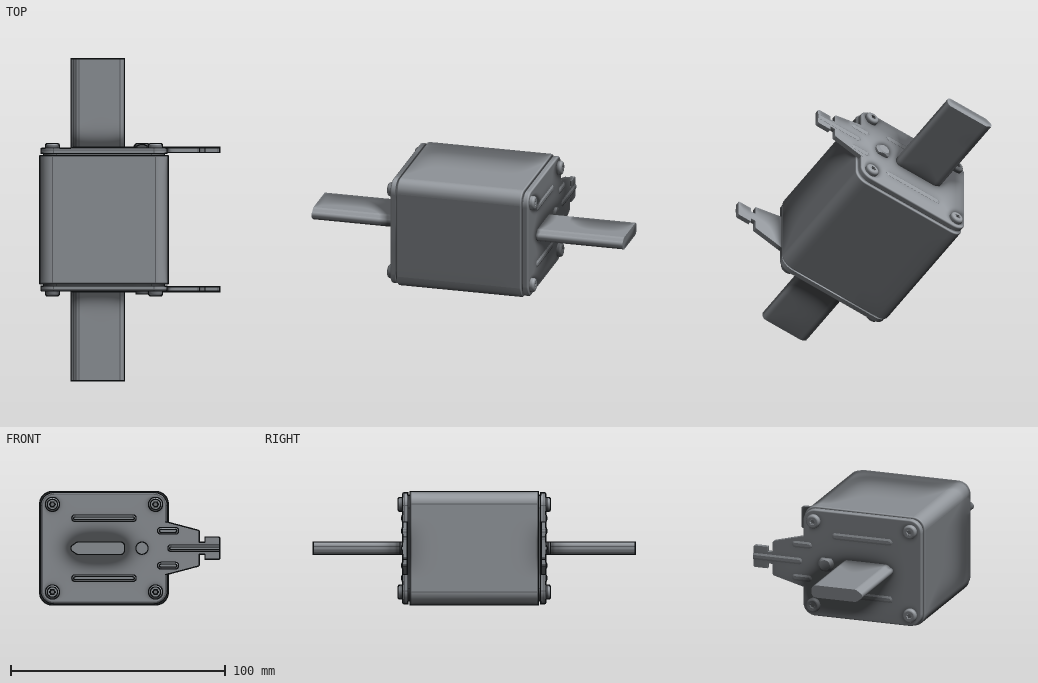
import cadquery as cq
import math


BODY_WIDTH = 60.0
BODY_HEIGHT = 53.0
CORNER_RADIUS = 6.0
BODY_END = 30.0
BODY_EDGE_ROUND = 0.6

PLATE_INSET = 0.6
PLATE_BACK = 30.9
PLATE_FACE = 33.3
PLATE_EDGE_ROUND = 0.8
GASKET_INSET = 1.8

LUG_THICKNESS = 2.1
LUG_ROOT_X = BODY_WIDTH / 2 - GASKET_INSET
LUG_TAPER_X = 29.7
LUG_TAPER_HALF_HEIGHT = 12.2
LUG_SHOULDER_X = 44.4
LUG_SHOULDER_HALF_HEIGHT = 8.2
LUG_NECK_HALF_HEIGHT = 2.8
LUG_HEAD_START_X = 47.0
LUG_HEAD_HALF_HEIGHT = 5.2
LUG_TIP_X = 54.0
LUG_CORNER_ROUND = 0.9

RIB_WIDTH = 3.2
RIB_HEIGHT = 0.5
RIB_SIDE_RUN = 0.9
RIB_SIDE_RISE = 0.38
LONG_RIB_END_X = 15.0
LONG_RIB_Z = 14.0
SHORT_RIB_START_X = 24.9
SHORT_RIB_END_X = 34.8
SHORT_RIB_Z = 8.1
LUG_RIB_START_X = 29.7

SCREW_X = 24.0
SCREW_Z = 20.4
SCREW_RADIUS = 3.3
SCREW_FLAT_RADIUS = 2.4
SCREW_RIM = 34.2
SCREW_TOP = 35.5
SCREW_DOME_BULGE = 0.3
SOCKET_RADIUS = 1.0
SOCKET_LOBE_RADIUS = 0.3
SOCKET_LOBES = 6
SOCKET_DEPTH = 1.2

BLADE_END = 75.0
BLADE_HALF_HEIGHT = 3.0
BLADE_RIGHT_X = 9.6
BLADE_RIGHT_ROUND = 2.1
BLADE_NOSE_X = -15.5
NOSE_EDGE_X = -14.2
NOSE_EDGE_HALF_HEIGHT = 1.6
BEVEL_END_X = -13.0
BEVEL_END_HALF_HEIGHT = 2.5
BLADE_FLAT_START_X = -11.7
BEVEL_BLEND_BULGE = 0.09

INDICATOR_X = 17.7
INDICATOR_RADIUS = 2.8
INDICATOR_TOP = 34.6
STRIKER_RADIUS = 3.8
STRIKER_HALF_HEIGHT = BLADE_HALF_HEIGHT
STRIKER_TOP = 35.5
STRIKER_CHAMFER = 1.2


def end_plane(distance):
    """Workplane facing -Y at the given distance from the middle: local x is X, local y is Z."""
    return cq.Workplane("XZ", origin=(0, -distance, 0))


def rounded_slab(inset, start, end):
    """Slab following the body outline, narrower by inset on every side, with the same corner radius."""
    return (
        end_plane(start)
        .rect(BODY_WIDTH - 2 * inset, BODY_HEIGHT - 2 * inset)
        .extrude(end - start)
        .edges("|Y")
        .fillet(CORNER_RADIUS)
    )


def ceramic_body():
    body = rounded_slab(0, -BODY_END, BODY_END)
    return body.faces("<Y or >Y").edges().fillet(BODY_EDGE_ROUND)


def cover_plate():
    plate = rounded_slab(PLATE_INSET, PLATE_BACK, PLATE_FACE)
    return plate.faces("<Y").edges().fillet(PLATE_EDGE_ROUND)


def gripping_lug():
    upper_side = [
        (LUG_ROOT_X, LUG_TAPER_HALF_HEIGHT),
        (LUG_TAPER_X, LUG_TAPER_HALF_HEIGHT),
        (LUG_SHOULDER_X, LUG_SHOULDER_HALF_HEIGHT),
        (LUG_SHOULDER_X, LUG_NECK_HALF_HEIGHT),
        (LUG_HEAD_START_X, LUG_NECK_HALF_HEIGHT),
        (LUG_HEAD_START_X, LUG_HEAD_HALF_HEIGHT),
        (LUG_TIP_X, LUG_HEAD_HALF_HEIGHT),
    ]
    lower_side = [(x, -z) for x, z in reversed(upper_side)]
    lug_back = end_plane(PLATE_FACE - LUG_THICKNESS)
    lug = lug_back.polyline(upper_side + lower_side).close().extrude(LUG_THICKNESS)
    middle_y = LUG_THICKNESS / 2 - PLATE_FACE
    for x, z in ((LUG_SHOULDER_X, LUG_SHOULDER_HALF_HEIGHT), (LUG_TIP_X, LUG_HEAD_HALF_HEIGHT)):
        for side in (-1, 1):
            corner = cq.selectors.NearestToPointSelector((x, middle_y, side * z))
            lug = lug.edges(corner).fillet(LUG_CORNER_ROUND)
    return lug


def rib(start_x, end_x, z):
    """Round-ended raised rib with sloping sides."""
    return (
        end_plane(PLATE_FACE)
        .center((start_x + end_x) / 2, z)
        .slot2D(end_x - start_x, RIB_WIDTH)
        .extrude(RIB_HEIGHT)
        .faces("<Y")
        .chamfer(RIB_SIDE_RISE, RIB_SIDE_RUN)
    )


def lug_rib():
    """Middle rib, cut off square at the tip of the lug."""
    full_rib = rib(LUG_RIB_START_X, LUG_TIP_X + RIB_WIDTH, 0)
    beyond_tip = (
        end_plane(PLATE_FACE)
        .rect(2 * RIB_WIDTH, 2 * RIB_WIDTH)
        .extrude(RIB_HEIGHT)
        .translate((LUG_TIP_X + RIB_WIDTH, 0, 0))
    )
    return full_rib.cut(beyond_tip)


def screw_head():
    """Domed screw head with a six-lobed socket, centred on the Y axis."""
    head = (
        cq.Workplane("XY")
        .moveTo(0, -PLATE_BACK)
        .lineTo(SCREW_RADIUS, -PLATE_BACK)
        .lineTo(SCREW_RADIUS, -SCREW_RIM)
        .sagittaArc((SCREW_FLAT_RADIUS, -SCREW_TOP), SCREW_DOME_BULGE)
        .lineTo(0, -SCREW_TOP)
        .close()
        .revolve(360, (0, 0, 0), (0, 1, 0))
    )
    socket_floor = end_plane(SCREW_TOP - SOCKET_DEPTH)
    socket = socket_floor.circle(SOCKET_RADIUS).extrude(SOCKET_DEPTH)
    lobes = (
        socket_floor.polarArray(SOCKET_RADIUS, 0, 360, SOCKET_LOBES)
        .circle(SOCKET_LOBE_RADIUS)
        .extrude(SOCKET_DEPTH)
    )
    return head.cut(socket).cut(lobes)


def contact_blade():
    """Blade with a bevelled nose on the -X edge and rounded corners on the +X edge."""
    round_start_x = BLADE_RIGHT_X - BLADE_RIGHT_ROUND
    round_end_z = BLADE_HALF_HEIGHT - BLADE_RIGHT_ROUND
    arc_x = round_start_x + BLADE_RIGHT_ROUND * math.sqrt(0.5)
    arc_z = round_end_z + BLADE_RIGHT_ROUND * math.sqrt(0.5)
    return (
        end_plane(BODY_END)
        .moveTo(BLADE_FLAT_START_X, BLADE_HALF_HEIGHT)
        .lineTo(round_start_x, BLADE_HALF_HEIGHT)
        .threePointArc((arc_x, arc_z), (BLADE_RIGHT_X, round_end_z))
        .lineTo(BLADE_RIGHT_X, -round_end_z)
        .threePointArc((arc_x, -arc_z), (round_start_x, -BLADE_HALF_HEIGHT))
        .lineTo(BLADE_FLAT_START_X, -BLADE_HALF_HEIGHT)
        .sagittaArc((BEVEL_END_X, -BEVEL_END_HALF_HEIGHT), BEVEL_BLEND_BULGE)
        .lineTo(NOSE_EDGE_X, -NOSE_EDGE_HALF_HEIGHT)
        .threePointArc((BLADE_NOSE_X, 0), (NOSE_EDGE_X, NOSE_EDGE_HALF_HEIGHT))
        .lineTo(BEVEL_END_X, BEVEL_END_HALF_HEIGHT)
        .sagittaArc((BLADE_FLAT_START_X, BLADE_HALF_HEIGHT), BEVEL_BLEND_BULGE)
        .close()
        .extrude(BLADE_END - BODY_END)
    )


def fuse_end():
    """Everything attached to the -Y end of the body, the same at both ends."""
    end = rounded_slab(GASKET_INSET, BODY_END, PLATE_BACK)
    end = end.union(cover_plate()).union(gripping_lug()).union(lug_rib()).union(contact_blade())
    screw = screw_head()
    for side in (-1, 1):
        end = end.union(rib(-LONG_RIB_END_X, LONG_RIB_END_X, side * LONG_RIB_Z))
        end = end.union(rib(SHORT_RIB_START_X, SHORT_RIB_END_X, side * SHORT_RIB_Z))
        for screw_x in (-SCREW_X, SCREW_X):
            end = end.union(screw.translate((screw_x, 0, side * SCREW_Z)))
    return end


def indicator_button():
    height = INDICATOR_TOP - PLATE_FACE
    return end_plane(PLATE_FACE).center(INDICATOR_X, 0).circle(INDICATOR_RADIUS).extrude(height)


def striker_head():
    """Chamfered round head with flats above and below, at the +Y end."""
    height = STRIKER_TOP - PLATE_FACE
    middle = (INDICATOR_X, PLATE_FACE + height / 2, 0)
    head = (
        end_plane(-STRIKER_TOP)
        .center(INDICATOR_X, 0)
        .circle(STRIKER_RADIUS)
        .extrude(height)
        .faces(">Y")
        .chamfer(STRIKER_CHAMFER)
    )
    flats = cq.Workplane("XY").box(2 * STRIKER_RADIUS, height, 2 * STRIKER_HALF_HEIGHT)
    return head.intersect(flats.translate(middle))


front_end = fuse_end()
back_end = front_end.mirror("XZ")
result = (
    ceramic_body()
    .union(front_end)
    .union(back_end)
    .union(indicator_button())
    .union(striker_head())
)